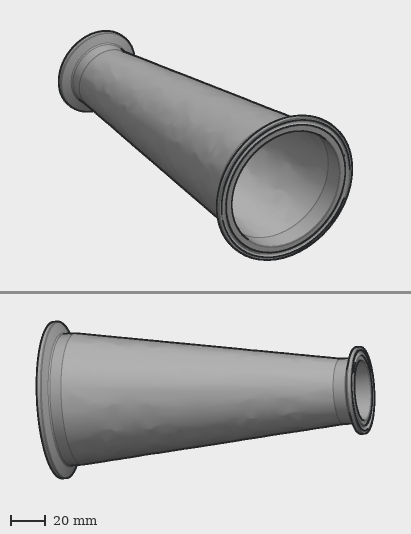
import cadquery as cq
import math


length = 177.8
wall = 1.6
ferrule_length = 12.6

wide_tube_dia = 76.3
wide_flange_dia = 90.9
narrow_tube_dia = 38.0
narrow_flange_dia = 50.5

rim_width = 2.7
clamp_angle = 20.0
rim_fillet = 0.5
face_edge_fillet = 0.4
neck_fillet = 0.9

groove_inset = 3.4
groove_half_width = 1.6
groove_depth = 1.0
groove_edge_fillet = 0.4

wide_face_x = length / 2
narrow_face_x = -length / 2
wide_axis_y = 0.0
narrow_axis_y = -(wide_tube_dia - narrow_tube_dia) / 2


def ring_edges(body, x, radius):
    """Circular edges of a body turned about X, at one station and radius."""
    tolerance = 0.002
    return body.edges("%CIRCLE").filter(
        lambda edge: abs(edge.Center().x - x) < tolerance
        and abs(edge.radius() - radius) < tolerance
    )


def gasket_groove(flange_radius):
    """Ring cutter with its section centred on the end face at X = 0."""
    centre = flange_radius - groove_inset
    return (
        cq.Workplane("XY")
        .moveTo(0, centre - groove_half_width)
        .threePointArc((groove_depth, centre), (0, centre + groove_half_width))
        .close()
        .revolve(360, (0, 0, 0), (1, 0, 0))
    )


def ferrule(tube_dia, flange_dia):
    """Solid ferrule with its end face at X = 0 and its tube toward +X."""
    tube_radius = tube_dia / 2
    flange_radius = flange_dia / 2
    clamp_run = (flange_radius - tube_radius) * math.tan(math.radians(clamp_angle))
    neck_x = rim_width + clamp_run
    body = (
        cq.Workplane("XY")
        .polyline([
            (0, 0),
            (0, flange_radius),
            (rim_width, flange_radius),
            (neck_x, tube_radius),
            (ferrule_length, tube_radius),
            (ferrule_length, 0),
        ])
        .close()
        .revolve(360, (0, 0, 0), (1, 0, 0))
    )
    body = ring_edges(body, neck_x, tube_radius).fillet(neck_fillet)
    body = ring_edges(body, rim_width, flange_radius).fillet(rim_fillet)
    body = ring_edges(body, 0, flange_radius).fillet(face_edge_fillet)
    body = body.cut(gasket_groove(flange_radius))
    groove_centre = flange_radius - groove_inset
    for edge_radius in (groove_centre - groove_half_width, groove_centre + groove_half_width):
        body = ring_edges(body, 0, edge_radius).fillet(groove_edge_fillet)
    return body


def tube(x, axis_y, dia, run):
    """Cylinder along X starting at the given station."""
    return cq.Workplane("YZ", origin=(x, axis_y, 0)).circle(dia / 2).extrude(run)


def oblique_cone(narrow_dia, wide_dia):
    """Ruled body between the inner ends of the two ferrules."""
    return (
        cq.Workplane("YZ", origin=(narrow_face_x + ferrule_length, 0, 0))
        .center(narrow_axis_y, 0)
        .circle(narrow_dia / 2)
        .workplane(offset=length - 2 * ferrule_length)
        .center(wide_axis_y - narrow_axis_y, 0)
        .circle(wide_dia / 2)
        .loft(ruled=True)
    )


narrow_ferrule = ferrule(narrow_tube_dia, narrow_flange_dia).translate(
    (narrow_face_x, narrow_axis_y, 0)
)
wide_ferrule = (
    ferrule(wide_tube_dia, wide_flange_dia)
    .mirror("YZ")
    .translate((wide_face_x, wide_axis_y, 0))
)
outside = oblique_cone(narrow_tube_dia, wide_tube_dia).union(narrow_ferrule).union(wide_ferrule)

narrow_bore_dia = narrow_tube_dia - 2 * wall
wide_bore_dia = wide_tube_dia - 2 * wall
bore = (
    oblique_cone(narrow_bore_dia, wide_bore_dia)
    .union(tube(narrow_face_x, narrow_axis_y, narrow_bore_dia, ferrule_length))
    .union(tube(wide_face_x, wide_axis_y, wide_bore_dia, -ferrule_length))
)

result = outside.cut(bore)
result = ring_edges(result, narrow_face_x, narrow_bore_dia / 2).fillet(face_edge_fillet)
result = ring_edges(result, wide_face_x, wide_bore_dia / 2).fillet(face_edge_fillet)